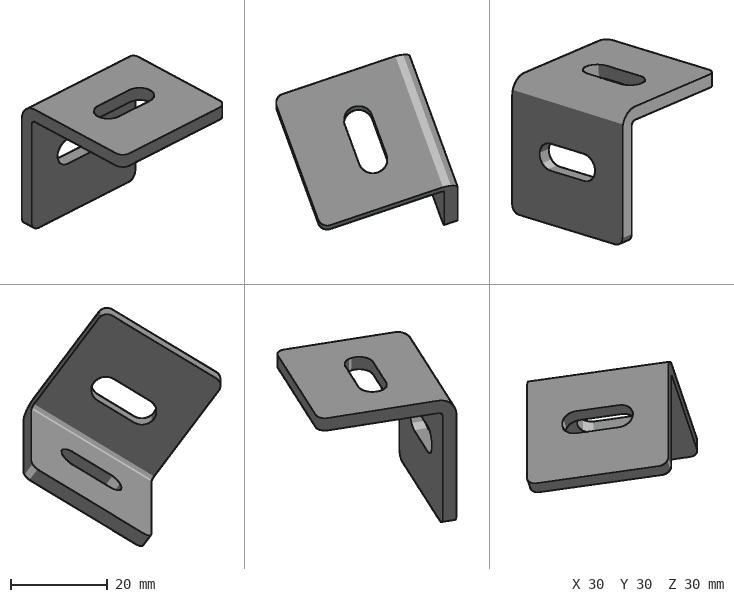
import cadquery as cq

leg_length = 30.0
width = 30.0
thickness = 3.0
inner_bend_radius = 1.0
corner_radius = 2.0
slot_length = 15.0
slot_width = 6.0
slot_offset = 15.0

outer_bend_radius = inner_bend_radius + thickness


def bent_sheet():
    """L-shaped sheet: one leg on top, one leg hanging down at X = 0."""
    block = cq.Workplane("XY").box(leg_length, width, leg_length, centered=(False, True, False))
    block = block.edges("|Y and <X and >Z").fillet(outer_bend_radius)
    inside = (
        cq.Workplane("XY")
        .box(leg_length - thickness, width, leg_length - thickness, centered=(False, True, False))
        .translate((thickness, 0, 0))
        .edges("|Y and <X and >Z")
        .fillet(inner_bend_radius)
    )
    return block.cut(inside)


def round_free_corners(body):
    """Round the two free corners at the end of each leg."""
    body = body.edges("|Z and >X").fillet(corner_radius)
    return body.edges("|X and <Z").fillet(corner_radius)


def slot_cutters():
    """Slots through the top leg and the hanging leg, both running along Y."""
    top_slot = (
        cq.Workplane("XY", origin=(slot_offset, 0, leg_length - thickness))
        .slot2D(slot_length, slot_width, 90)
        .extrude(thickness)
    )
    side_slot = (
        cq.Workplane("YZ", origin=(0, 0, leg_length - slot_offset))
        .slot2D(slot_length, slot_width)
        .extrude(thickness)
    )
    return top_slot.union(side_slot)


result = round_free_corners(bent_sheet()).cut(slot_cutters())